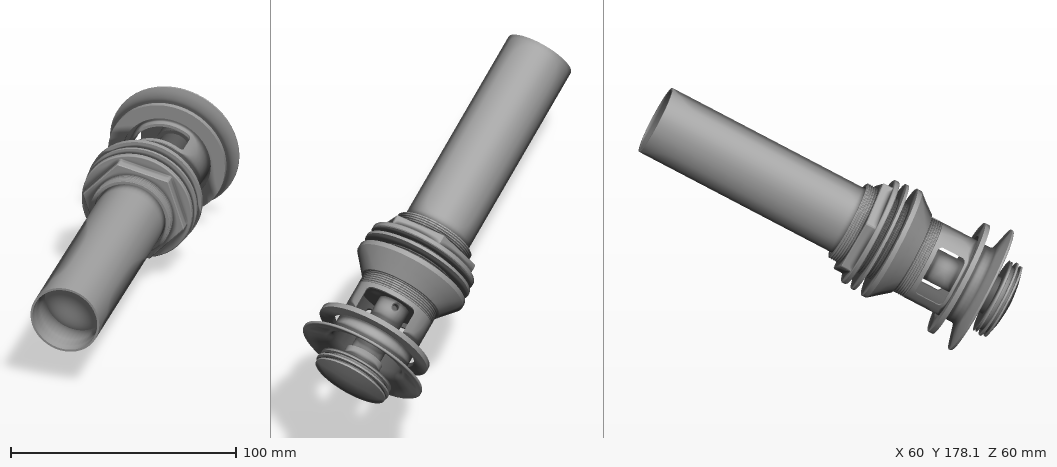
import cadquery as cq
import math


total_length = 178.09

cap_neck_radius = 15.4
cap_lip_radius = 17.5
cap_lip_top = 2.75
cap_lip_bottom = 3.5
cap_ring_radius = 18.1
cap_ring_top = 4.9
cap_ring_bottom = 5.7
seal_top = 7.6
cap_bottom = 8.8
seal_groove_depth = 1.0
upper_stem_radius = 9.0
upper_stem_bottom = 16.0
stem_radius = 7.4

screw_depth = 41.0
screw_turn = 19.0
screw_hole_radius = 1.5
screw_sink_radius = 2.3
screw_hole_length = 4.0

flange_radius = 30.0
flange_top = 13.6
flange_rim_bottom = 14.7
flange_rim_round = 0.5
flange_cone_slope = 0.29
flange_fillet = 2.0
barrel_radius = 18.65
bore_radius = 17.3
bore_bottom = 43.6

window_width = 24.0
window_top = 28.1
window_bottom = 41.5
window_corner = 2.0

thread_top = bore_bottom
thread_bottom = 81.4
thread_depth = 0.65
thread_pitch = 1.05

gasket_radius = 27.2
gasket_top = 24.3
gasket_bottom = 26.6
gasket_hole_radius = 20.6

cone_top = 49.5
cone_shoulder = 58.2
cone_bottom = 60.4
cone_top_radius = 19.7
cone_radius = 26.7
washer_radius = 26.2
washer_top = 64.5
washer_bottom = 65.8
nut_flange_radius = 25.6
nut_flange_top = 68.8
nut_flange_bottom = 71.2
nut_flange_chamfer = 0.4
nut_bottom = 76.0
nut_corner_radius = 24.1
nut_turn = -12.0
nut_edge_chamfer = 0.4
nut_root_fillet = 0.5

tube_radius = 16.0
tube_bore_radius = 15.0
tube_bore_depth = 18.3
tube_recess_radius = 16.7
tube_recess_depth = 2.0


def disc(top, bottom, radius):
    """Round disc about the Y axis, between two depths."""
    return cq.Workplane("XZ", origin=(0, -top, 0)).circle(radius).extrude(bottom - top)


def turned(profile):
    """Solid of revolution about the Y axis from a closed half-profile in XY."""
    return profile.close().revolve(360, (0, 0, 0), (0, 1, 0))


def make_cap():
    crown_half = cap_lip_radius / 2
    sphere_radius = (cap_lip_radius**2 + cap_lip_top**2) / (2 * cap_lip_top)
    crown_mid_depth = sphere_radius - math.sqrt(sphere_radius**2 - crown_half**2)
    seal_middle = (seal_top + cap_bottom) / 2
    return turned(
        cq.Workplane("XY")
        .moveTo(0, 0)
        .threePointArc((crown_half, -crown_mid_depth), (cap_lip_radius, -cap_lip_top))
        .lineTo(cap_lip_radius, -cap_lip_bottom)
        .lineTo(cap_neck_radius, -cap_lip_bottom)
        .lineTo(cap_neck_radius, -cap_ring_top)
        .lineTo(cap_ring_radius, -cap_ring_top)
        .lineTo(cap_ring_radius, -cap_ring_bottom)
        .lineTo(cap_neck_radius, -cap_ring_bottom)
        .lineTo(cap_neck_radius, -seal_top)
        .lineTo(cap_lip_radius, -seal_top)
        .threePointArc((cap_lip_radius - seal_groove_depth, -seal_middle), (cap_lip_radius, -cap_bottom))
        .lineTo(0, -cap_bottom)
    )


def make_screw_hole():
    """Countersunk hole pointing outward along +Z, turned about the Y axis to its place."""
    sink_length = screw_sink_radius - screw_hole_radius
    mouth = cq.Workplane("XY", origin=(0, -screw_depth, stem_radius))
    hole = mouth.circle(screw_hole_radius).extrude(-screw_hole_length)
    sink = mouth.circle(screw_sink_radius).workplane(offset=-sink_length).circle(screw_hole_radius).loft()
    return hole.union(sink).rotate((0, 0, 0), (0, 1, 0), -screw_turn)


def make_plunger():
    upper_stem = disc(cap_bottom, upper_stem_bottom, upper_stem_radius)
    lower_stem = disc(upper_stem_bottom, bore_bottom, stem_radius)
    return make_cap().union(upper_stem).union(lower_stem).cut(make_screw_hole())


def flare_curve(cone_depth, cone_edge_radius, pipe_radius, fillet):
    """Points (radius, depth) where a fillet leaves the flange cone and where it meets a pipe wall.

    The cone passes through cone_depth at cone_edge_radius and sinks toward the axis.
    """
    cone_angle = math.atan(flange_cone_slope)
    corner_depth = cone_depth + flange_cone_slope * (cone_edge_radius - pipe_radius)
    tangent = fillet * math.tan((math.pi / 2 - cone_angle) / 2)
    start = (pipe_radius + tangent * math.cos(cone_angle), corner_depth - tangent * math.sin(cone_angle))
    end = (pipe_radius, corner_depth + tangent)
    return start, end


def make_flange():
    """Solid flange rim, its cone underneath and the fillet that runs the cone into the barrel."""
    start, end = flare_curve(flange_rim_bottom, flange_radius, barrel_radius, flange_fillet)
    rim_inner = flange_radius - flange_rim_round
    return turned(
        cq.Workplane("XY")
        .moveTo(0, -flange_top)
        .lineTo(rim_inner, -flange_top)
        .radiusArc((flange_radius, -flange_top - flange_rim_round), flange_rim_round)
        .lineTo(flange_radius, -flange_rim_bottom)
        .lineTo(start[0], -start[1])
        .radiusArc((end[0], -end[1]), -flange_fillet)
        .lineTo(0, -end[1])
    )


def make_bore():
    """Space inside the housing: a dish in the flange that runs down into a straight bore."""
    dish_radius = flange_radius - flange_rim_round
    dish_fillet = flange_fillet + barrel_radius - bore_radius
    start, end = flare_curve(flange_top, dish_radius, bore_radius, dish_fillet)
    return turned(
        cq.Workplane("XY")
        .moveTo(0, -flange_top)
        .lineTo(dish_radius, -flange_top)
        .lineTo(start[0], -start[1])
        .radiusArc((end[0], -end[1]), -dish_fillet)
        .lineTo(bore_radius, -bore_bottom)
        .lineTo(0, -bore_bottom)
    )


def make_thread():
    """Threaded length as a row of ridges with flat crests and flat roots between them."""
    ridge_count = round((thread_bottom - thread_top) / thread_pitch)
    pitch = (thread_bottom - thread_top) / ridge_count
    flank = pitch / 4
    root_radius = barrel_radius - thread_depth
    profile = cq.Workplane("XY").moveTo(0, -thread_top).lineTo(root_radius, -thread_top)
    for ridge in range(ridge_count):
        ridge_top = thread_top + ridge * pitch
        crest_top = ridge_top + flank
        crest_bottom = crest_top + flank
        profile = profile.lineTo(barrel_radius, -crest_top)
        profile = profile.lineTo(barrel_radius, -crest_bottom)
        profile = profile.lineTo(root_radius, -crest_bottom - flank)
        profile = profile.lineTo(root_radius, -ridge_top - pitch)
    return turned(profile.lineTo(0, -thread_bottom))


def make_cone_washer():
    return turned(
        cq.Workplane("XY")
        .moveTo(0, -cone_top)
        .lineTo(cone_top_radius, -cone_top)
        .lineTo(cone_radius, -cone_shoulder)
        .lineTo(cone_radius, -cone_bottom)
        .lineTo(0, -cone_bottom)
    )


def make_nut():
    flange = disc(nut_flange_top, nut_flange_bottom, nut_flange_radius).edges().chamfer(nut_flange_chamfer)
    hexagon = (
        cq.Workplane("XZ", origin=(0, -nut_flange_bottom, 0))
        .polygon(6, 2 * nut_corner_radius)
        .extrude(nut_bottom - nut_flange_bottom)
        .edges("|Y or <Y")
        .chamfer(nut_edge_chamfer)
        .rotate((0, 0, 0), (0, 1, 0), -nut_turn)
    )
    root_edges = cq.selectors.BoxSelector(
        (-nut_corner_radius, -nut_flange_bottom - nut_edge_chamfer / 2, -nut_corner_radius),
        (nut_corner_radius, -nut_flange_bottom + nut_edge_chamfer / 2, nut_corner_radius),
    )
    nut = flange.union(hexagon)
    return nut.edges(root_edges).fillet(nut_root_fillet)


def make_window():
    """Round-cornered opening that passes through the barrel along Z."""
    return (
        cq.Workplane("XY", origin=(0, -(window_top + window_bottom) / 2, 0))
        .rect(window_width, window_bottom - window_top)
        .extrude(barrel_radius, both=True)
        .edges("|Z")
        .fillet(window_corner)
    )


def make_housing():
    body = disc(flange_rim_bottom, thread_top, barrel_radius)
    body = body.union(make_flange())
    body = body.union(make_thread())
    body = body.union(make_cone_washer())
    body = body.union(disc(washer_top, washer_bottom, washer_radius))
    body = body.union(make_nut())
    body = body.cut(make_bore())
    body = body.cut(disc(thread_bottom - tube_recess_depth, thread_bottom, tube_recess_radius))
    body = body.union(disc(thread_bottom - tube_recess_depth, total_length, tube_radius))
    body = body.cut(disc(total_length - tube_bore_depth, total_length, tube_bore_radius))
    return body.cut(make_window())


def make_gasket():
    return disc(gasket_top, gasket_bottom, gasket_radius).cut(
        disc(gasket_top, gasket_bottom, gasket_hole_radius)
    )


plunger = make_plunger()
housing = make_housing()
gasket = make_gasket()

result = cq.Compound.makeCompound([plunger.val(), housing.val(), gasket.val()])